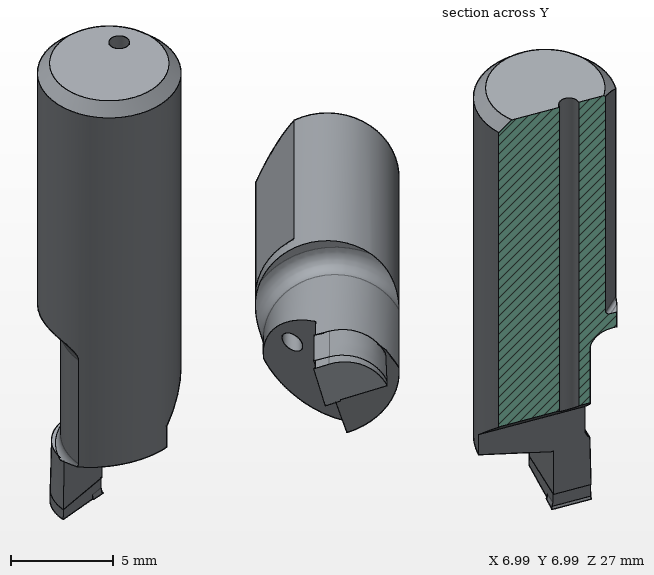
import cadquery as cq
import math

length = 27.0
shank_radius = 3.496
top_chamfer = 0.6
oversize = 2 * shank_radius

flat_distance = 2.92
flat_bottom = 13.0
flat_fillet = 0.2
flat_angle = 135.0

hole_diameter = 1.0
hole_x = -0.6
hole_y = 1.6

neck_offset = 1.4
neck_top = 12.02
neck_fillet = 1.0
flare_top = 4.54
flare_bottom = 3.97
flare_arc_radius = 0.78

ramp_start = 6.02

underside_height = 3.67
underside_angle = 15.0
clearance_angle = 6.0

blade_left = -2.43
blade_right = -0.43
blade_straight = 0.78
blade_back = 3.15
side_clearance = 1.2
tip_height = 0.95
rake_recess = 0.08
rake_land = 0.14
nib_width = 0.08
nib_height = 0.35


def make_shank():
    """Round bar with a chamfered top, down to the cutting edge level."""
    return cq.Workplane("XY").circle(shank_radius).extrude(length).faces(">Z").chamfer(top_chamfer)


def make_flat_cutter():
    """Block that leaves the clamping flat with a fillet at its foot."""
    cutter = (
        cq.Workplane("XY")
        .box(oversize, 2 * oversize, length, centered=(False, True, False))
        .edges("<X and <Z")
        .fillet(flat_fillet)
    )
    cutter = cutter.translate((flat_distance, 0, flat_bottom))
    return cutter.rotate((0, 0, 0), (0, 0, 1), flat_angle)


def make_neck_core():
    """Revolved body kept inside the relief: flare, neck and large fillet."""
    fillet_middle = neck_fillet * (1 - math.sqrt(0.5))
    flare_angle = math.asin((flare_top - flare_bottom) / flare_arc_radius)
    flare_radius = shank_radius + flare_arc_radius * (1 - math.cos(flare_angle))
    flare_middle = (
        shank_radius + flare_arc_radius * (1 - math.cos(flare_angle / 2)),
        flare_top - flare_arc_radius * math.sin(flare_angle / 2),
    )
    return (
        cq.Workplane("XZ")
        .lineTo(flare_radius, 0)
        .lineTo(flare_radius, flare_bottom)
        .threePointArc(flare_middle, (shank_radius, flare_top))
        .lineTo(shank_radius, neck_top - neck_fillet)
        .threePointArc(
            (shank_radius + fillet_middle, neck_top - fillet_middle),
            (shank_radius + neck_fillet, neck_top),
        )
        .lineTo(0, neck_top)
        .close()
        .revolve(360, (0, 0, 0), (0, 1, 0))
        .translate((neck_offset, 0, 0))
    )


def make_neck_relief():
    """Material outside the neck core, below the full round shank."""
    block = cq.Workplane("XY").box(2 * oversize, 2 * oversize, neck_top, centered=(True, True, False))
    return block.cut(make_neck_core())


def make_half_cutter():
    """Space ahead of the rake plane, closed by the 45 degree ramp."""
    return (
        cq.Workplane("YZ")
        .moveTo(0, 0)
        .lineTo(0, ramp_start)
        .lineTo(oversize, ramp_start + oversize)
        .lineTo(oversize, 0)
        .close()
        .extrude(oversize, both=True)
    )


def make_underside_cutter():
    """Everything below the sloped shank end and below the flare."""
    below = cq.Workplane("XY").box(4 * oversize, 4 * oversize, oversize, centered=(True, True, False))
    slope = below.translate((0, 0, -oversize))
    slope = slope.rotate((0, 0, 0), (1, 0, 0), -clearance_angle)
    slope = slope.rotate((0, 0, 0), (0, 1, 0), -underside_angle)
    slope = slope.translate((blade_right, 0, underside_height))
    beside = cq.Workplane("XY").box(oversize, 2 * oversize, flare_bottom, centered=(False, True, False))
    return slope.union(beside.translate((blade_right - oversize, 0, 0)))


def make_blade():
    """Curved blade from the cutting edge up to the flare of the neck, narrowing upward."""
    arc_width = blade_right - blade_left
    arc_depth = blade_back - blade_straight
    arc_radius = (arc_width**2 + arc_depth**2) / (2 * arc_width)
    half_angle = math.asin(arc_depth / arc_radius) / 2
    arc_middle = (
        blade_left + arc_radius * (1 - math.cos(half_angle)),
        -blade_straight - arc_radius * math.sin(half_angle),
    )
    spare = 0.27
    blade = (
        cq.Workplane("XY")
        .moveTo(blade_left, spare)
        .lineTo(blade_left, -blade_straight)
        .threePointArc(arc_middle, (blade_right, -blade_back))
        .lineTo(blade_right + spare, -blade_back)
        .lineTo(blade_right + spare, spare)
        .close()
        .extrude(flare_bottom, taper=side_clearance)
    )
    trim = cq.Workplane("XY").box(oversize, oversize, flare_bottom, centered=False)
    return blade.intersect(trim.translate((blade_right - oversize, -oversize, 0)))


def make_tip_space():
    """Zone below the joint between the holder and the tip."""
    return cq.Workplane("XY").box(oversize, oversize, tip_height, centered=(True, True, False))


def make_holder():
    body = make_shank().cut(make_flat_cutter()).cut(make_neck_relief())
    body = body.cut(make_half_cutter()).cut(make_underside_cutter())
    body = body.union(make_blade().cut(make_tip_space()))
    hole = cq.Workplane("XY").center(hole_x, hole_y).circle(hole_diameter / 2).extrude(length)
    return body.cut(hole)


def make_tip():
    """Cutting tip with a clearance face, a hollow rake face and a corner nib."""
    tip = make_blade().intersect(make_tip_space())
    nib = (
        cq.Workplane("XZ")
        .moveTo(blade_right, 0)
        .lineTo(blade_right + nib_width, 0)
        .lineTo(blade_right, nib_height)
        .close()
        .extrude(blade_straight)
    )
    profile = (
        cq.Workplane("YZ")
        .moveTo(0, 0)
        .lineTo(-rake_recess, rake_land)
        .lineTo(-rake_recess, tip_height)
        .lineTo(-oversize, tip_height)
        .lineTo(-oversize, oversize * math.tan(math.radians(clearance_angle)))
        .close()
        .extrude(oversize, both=True)
    )
    return tip.union(nib).intersect(profile)


holder = make_holder()
tip = make_tip()
result = cq.Compound.makeCompound([holder.solids().val(), tip.solids().val()])